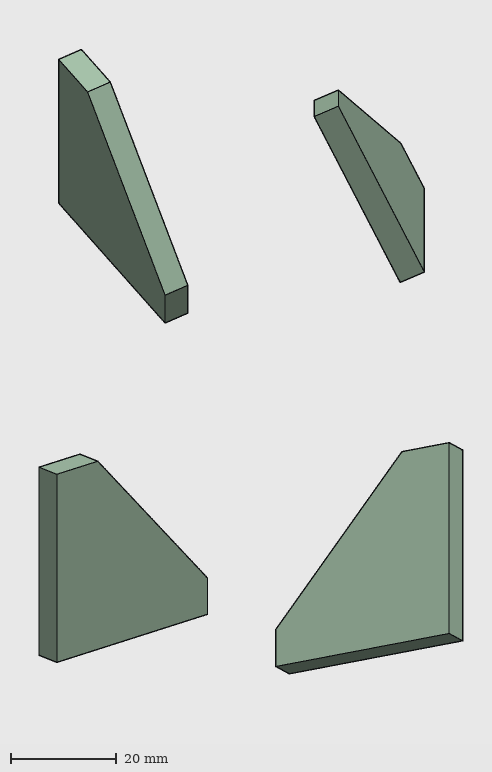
import cadquery as cq

side_length = 38.1
thickness = 5.08

top_edge_length = 10.37
right_edge_height = 7.4


def gusset_plate():
    """Square plate in the XZ plane with its +X, +Z corner cut off, extruded along +Y."""
    outline = (
        cq.Workplane("XZ")
        .moveTo(0, 0)
        .lineTo(side_length, 0)
        .lineTo(side_length, right_edge_height)
        .lineTo(top_edge_length, side_length)
        .lineTo(0, side_length)
        .close()
    )
    return outline.extrude(-thickness)


result = gusset_plate()